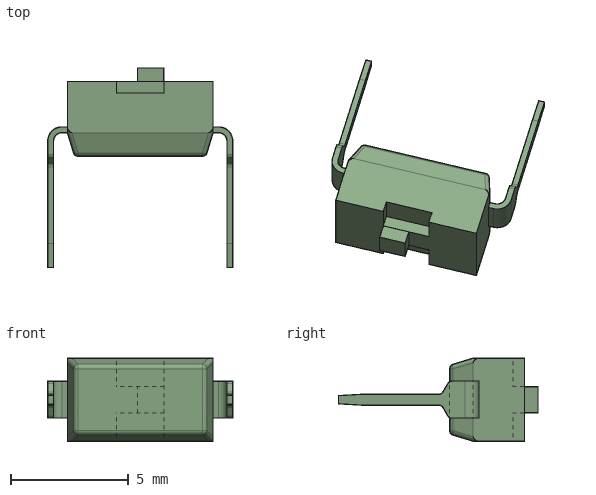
import cadquery as cq
import math


housing_width = 6.2
housing_depth = 3.18
housing_height = 3.54
straight_depth = 2.18
draft_angle = 17.0
housing_fillet = 0.2

notch_width = 2.0
notch_depth = 0.48

knob_size = 1.12
knob_length = 0.58

lead_span = 7.87
lead_thickness = 0.255
lead_width = 1.57
bend_radius = 0.61
lead_rear = 1.93
overall_depth = 8.49
shoulder_depth = 3.21
shoulder_angle = 60.0
shoulder_fillet = 0.19
neck_width = 0.475
tip_taper_depth = 6.89
tip_width = 0.36

land_top = knob_size / 2
housing_top = housing_height / 2
lead_tip = overall_depth - knob_length
lead_outer_x = lead_span / 2
lead_inner_x = lead_outer_x - lead_thickness
inner_bend_radius = bend_radius - lead_thickness
neck_depth = shoulder_depth + (lead_width - neck_width) / 2 / math.tan(math.radians(shoulder_angle))


def box_between(x_range, y_range, z_range):
    """Box given by its lowest and highest coordinate along each axis."""
    (x0, x1), (y0, y1), (z0, z1) = x_range, y_range, z_range
    return cq.Workplane("XY").box(x1 - x0, y1 - y0, z1 - z0, centered=False).translate((x0, y0, z0))


def make_housing():
    """Block with drafted, rounded walls at the front and notches at the rear."""
    block = cq.Workplane("XZ").rect(housing_width, housing_height).extrude(housing_depth)

    flare = 2 * straight_depth * math.tan(math.radians(draft_angle))
    drafted = (
        cq.Workplane("XZ")
        .rect(housing_width + flare, housing_height + flare)
        .extrude(housing_depth, taper=draft_angle)
        .edges("not >Y")
        .fillet(housing_fillet)
    )
    housing = block.intersect(drafted)

    for z_range in ((land_top, housing_top), (-housing_top, -land_top)):
        notch = box_between((-notch_width / 2, notch_width / 2), (-notch_depth, 0), z_range)
        housing = housing.cut(notch)
    return housing


def make_knob():
    """Square knob standing on the land between the notches."""
    right = notch_width / 2
    return box_between((right - knob_size, right), (0, knob_length), (-land_top, land_top))


def make_right_lead():
    """Lead bent from the right wall of the housing toward -Y."""
    bend_center = (lead_outer_x - bend_radius, -lead_rear - bend_radius)
    diagonal = math.sqrt(0.5)
    outer_mid = (bend_center[0] + bend_radius * diagonal, bend_center[1] + bend_radius * diagonal)
    inner_mid = (
        bend_center[0] + inner_bend_radius * diagonal,
        bend_center[1] + inner_bend_radius * diagonal,
    )
    front_of_root = -lead_rear - lead_thickness
    bent_strip = (
        cq.Workplane("XY")
        .moveTo(housing_width / 2, -lead_rear)
        .lineTo(bend_center[0], -lead_rear)
        .threePointArc(outer_mid, (lead_outer_x, bend_center[1]))
        .lineTo(lead_outer_x, -lead_tip)
        .lineTo(lead_inner_x, -lead_tip)
        .lineTo(lead_inner_x, bend_center[1])
        .threePointArc(inner_mid, (bend_center[0], front_of_root))
        .lineTo(housing_width / 2, front_of_root)
        .close()
        .extrude(lead_width / 2, both=True)
    )

    upper_edge = [
        (-lead_rear, lead_width / 2),
        (-shoulder_depth, lead_width / 2),
        (-neck_depth, neck_width / 2),
        (-tip_taper_depth, neck_width / 2),
        (-lead_tip, tip_width / 2),
    ]
    lower_edge = [(y, -z) for y, z in reversed(upper_edge)]
    outline = cq.Workplane("YZ").polyline(upper_edge + lower_edge).close().extrude(lead_outer_x)
    shoulder_zone = cq.selectors.BoxSelector(
        (0, -neck_depth - shoulder_fillet, -lead_width),
        (lead_outer_x, -shoulder_depth + shoulder_fillet, lead_width),
    )
    outline = outline.edges("|X").edges(shoulder_zone).fillet(shoulder_fillet)
    return bent_strip.intersect(outline)


housing = make_housing().solids()
knob = make_knob()
right_lead = make_right_lead().solids()

leads = cq.Workplane("XY")
for lead in (right_lead, right_lead.mirror("YZ").solids()):
    leads.add(lead.val())

result = cq.Compound.makeCompound([housing.val(), knob.val(), *leads.vals()])